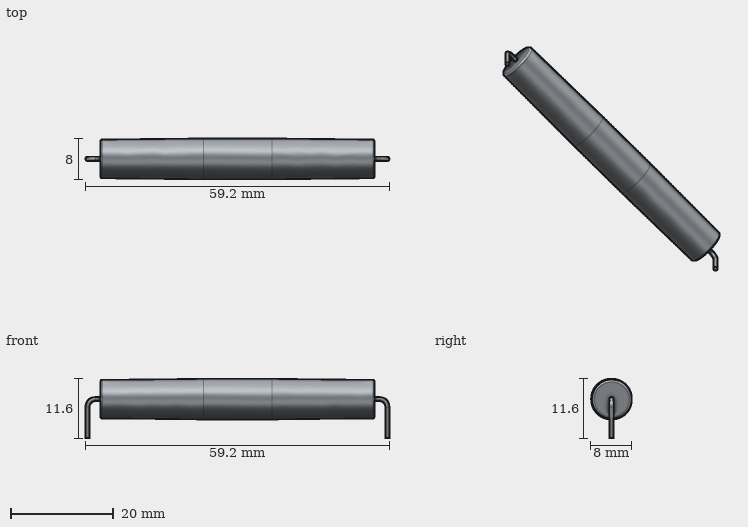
import cadquery as cq

barrel_length = 53.4
middle_length = 13.4
middle_diameter = 8.0
end_diameter = 7.6
rim_fillet = 0.4

overall_length = 59.2
overall_height = 11.6
wire_diameter = 0.8
bend_radius = 1.5

half_barrel = barrel_length / 2
half_middle = middle_length / 2
middle_radius = middle_diameter / 2
end_radius = end_diameter / 2
leg_x = (overall_length - wire_diameter) / 2
leg_bottom_z = middle_radius - overall_height


def make_barrel():
    """Cylindrical middle with a taper towards each end and rounded end rims."""
    half_profile = [
        (-half_barrel, 0),
        (-half_barrel, -end_radius),
        (-half_middle, -middle_radius),
        (half_middle, -middle_radius),
        (half_barrel, -end_radius),
        (half_barrel, 0),
    ]
    turned = cq.Workplane("XY").polyline(half_profile).close().revolve(360, (0, 0, 0), (1, 0, 0))
    return turned.faces("<X or >X").edges().fillet(rim_fillet)


def make_lead(side):
    """Round wire from the barrel end face (side -1 or +1), bent down into a leg."""
    path = (
        cq.Workplane("XZ")
        .moveTo(side * half_barrel, 0)
        .lineTo(side * (leg_x - bend_radius), 0)
        .tangentArcPoint((side * leg_x, -bend_radius), relative=False)
        .lineTo(side * leg_x, leg_bottom_z)
    )
    section = cq.Workplane("YZ", origin=(side * half_barrel, 0, 0)).circle(wire_diameter / 2)
    return section.sweep(path)


barrel = make_barrel()
leads = [make_lead(side) for side in (-1, 1)]

result = cq.Compound.makeCompound([barrel.val(), *[lead.val() for lead in leads]])